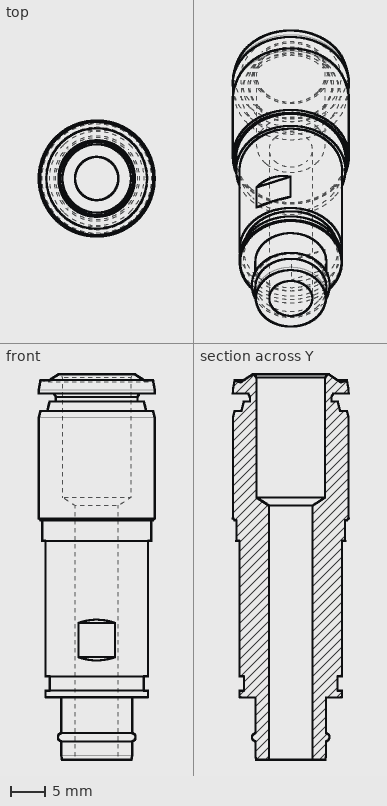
import cadquery as cq

TOTAL_HEIGHT = 56.35

SPIGOT_RADIUS = 5.2
SPIGOT_END_RADIUS = 5.1
SPIGOT_LEAD_IN = 0.6
BEAD_RADIUS = 5.7
BEAD_CENTRE_Z = 3.3
BEAD_HALF_HEIGHT = 0.6

BODY_RADIUS = 7.5
BODY_BOTTOM_Z = 9.1
BODY_EDGE_CHAMFER = 0.1
GROOVE_RADIUS = 6.9
GROOVE_BOTTOM_Z = 10.1
GROOVE_TOP_Z = 12.2
COLLAR_RADIUS = 8.0
COLLAR_BOTTOM_Z = 32.0

SLEEVE_RADIUS = 8.5
SLEEVE_BOTTOM_Z = 35.0
SLEEVE_BOTTOM_CHAMFER = 0.3
SLEEVE_TOP_RADIUS = 8.25
SLEEVE_TAPER_Z = 50.0
SLEEVE_TOP_Z = 51.0

NECK_BOTTOM_RADIUS = 7.25
NECK_TOP_RADIUS = 6.9
NECK_TOP_Z = 52.4
STEM_RADIUS = 6.0
STEM_TOP_RADIUS = 6.25
STEM_FLARE_Z = 53.05

HEAD_RADIUS = 8.5
HEAD_BOTTOM_Z = 53.5
HEAD_TAPER_Z = 54.05
RIM_RADIUS = 8.25
RIM_Z = 55.5
DISH_RADIUS = 7.35
DISH_Z = 55.2
CONE_TOP_RADIUS = 5.6

MOUTH_RADIUS = 5.35
MOUTH_DEPTH = 0.5
SOCKET_RADIUS = 5.0
SOCKET_DEPTH = 18.0
PASSAGE_RADIUS = 3.15
SOCKET_CONE_HEIGHT = 1.2

FLAT_OFFSET = 7.02
FLAT_CENTRE_Z = 17.5
FLAT_HEIGHT = 5.0


def make_outer_body():
    """Revolve the full outer profile (radius, height) about Z."""
    profile = (
        cq.Workplane("XZ")
        .lineTo(SPIGOT_END_RADIUS, 0)
        .lineTo(SPIGOT_RADIUS, SPIGOT_LEAD_IN)
        .lineTo(SPIGOT_RADIUS, BEAD_CENTRE_Z - BEAD_HALF_HEIGHT)
        .threePointArc(
            (BEAD_RADIUS, BEAD_CENTRE_Z),
            (SPIGOT_RADIUS, BEAD_CENTRE_Z + BEAD_HALF_HEIGHT),
        )
        .lineTo(SPIGOT_RADIUS, BODY_BOTTOM_Z)
        .lineTo(BODY_RADIUS - BODY_EDGE_CHAMFER, BODY_BOTTOM_Z)
        .lineTo(BODY_RADIUS, BODY_BOTTOM_Z + BODY_EDGE_CHAMFER)
        .lineTo(BODY_RADIUS, GROOVE_BOTTOM_Z)
        .lineTo(GROOVE_RADIUS, GROOVE_BOTTOM_Z)
        .lineTo(GROOVE_RADIUS, GROOVE_TOP_Z)
        .lineTo(BODY_RADIUS, GROOVE_TOP_Z)
        .lineTo(BODY_RADIUS, COLLAR_BOTTOM_Z)
        .lineTo(COLLAR_RADIUS, COLLAR_BOTTOM_Z)
        .lineTo(COLLAR_RADIUS, SLEEVE_BOTTOM_Z)
        .lineTo(SLEEVE_RADIUS - SLEEVE_BOTTOM_CHAMFER, SLEEVE_BOTTOM_Z)
        .lineTo(SLEEVE_RADIUS, SLEEVE_BOTTOM_Z + SLEEVE_BOTTOM_CHAMFER)
        .lineTo(SLEEVE_RADIUS, SLEEVE_TAPER_Z)
        .lineTo(SLEEVE_TOP_RADIUS, SLEEVE_TOP_Z)
        .lineTo(NECK_BOTTOM_RADIUS, SLEEVE_TOP_Z)
        .lineTo(NECK_TOP_RADIUS, NECK_TOP_Z)
        .lineTo(STEM_RADIUS, NECK_TOP_Z)
        .lineTo(STEM_RADIUS, STEM_FLARE_Z)
        .lineTo(STEM_TOP_RADIUS, HEAD_BOTTOM_Z)
        .lineTo(HEAD_RADIUS, HEAD_BOTTOM_Z)
        .lineTo(HEAD_RADIUS, HEAD_TAPER_Z)
        .lineTo(RIM_RADIUS, RIM_Z)
        .lineTo(DISH_RADIUS, DISH_Z)
        .lineTo(CONE_TOP_RADIUS, TOTAL_HEIGHT)
        .lineTo(0, TOTAL_HEIGHT)
        .close()
    )
    return profile.revolve(360, (0, 0, 0), (0, 1, 0))


def make_bore():
    """Tube socket with a chamfered mouth, funnelling into the through passage."""
    socket_floor_z = TOTAL_HEIGHT - SOCKET_DEPTH
    profile = (
        cq.Workplane("XZ")
        .lineTo(PASSAGE_RADIUS, 0)
        .lineTo(PASSAGE_RADIUS, socket_floor_z - SOCKET_CONE_HEIGHT)
        .lineTo(SOCKET_RADIUS, socket_floor_z)
        .lineTo(SOCKET_RADIUS, TOTAL_HEIGHT - MOUTH_DEPTH)
        .lineTo(MOUTH_RADIUS, TOTAL_HEIGHT)
        .lineTo(0, TOTAL_HEIGHT)
        .close()
    )
    return profile.revolve(360, (0, 0, 0), (0, 1, 0))


def make_flat_cutter(side):
    """Wedge-ended cutter for the wrench flat on the given Y side (-1 or +1)."""
    ramp = BODY_RADIUS - FLAT_OFFSET
    inner_half = FLAT_HEIGHT / 2
    outer_half = inner_half + ramp
    return (
        cq.Workplane("YZ")
        .polyline([
            (side * FLAT_OFFSET, FLAT_CENTRE_Z - inner_half),
            (side * BODY_RADIUS, FLAT_CENTRE_Z - outer_half),
            (side * BODY_RADIUS, FLAT_CENTRE_Z + outer_half),
            (side * FLAT_OFFSET, FLAT_CENTRE_Z + inner_half),
        ])
        .close()
        .extrude(BODY_RADIUS, both=True)
    )


result = make_outer_body().cut(make_bore())
for flat_side in (-1, 1):
    result = result.cut(make_flat_cutter(flat_side))